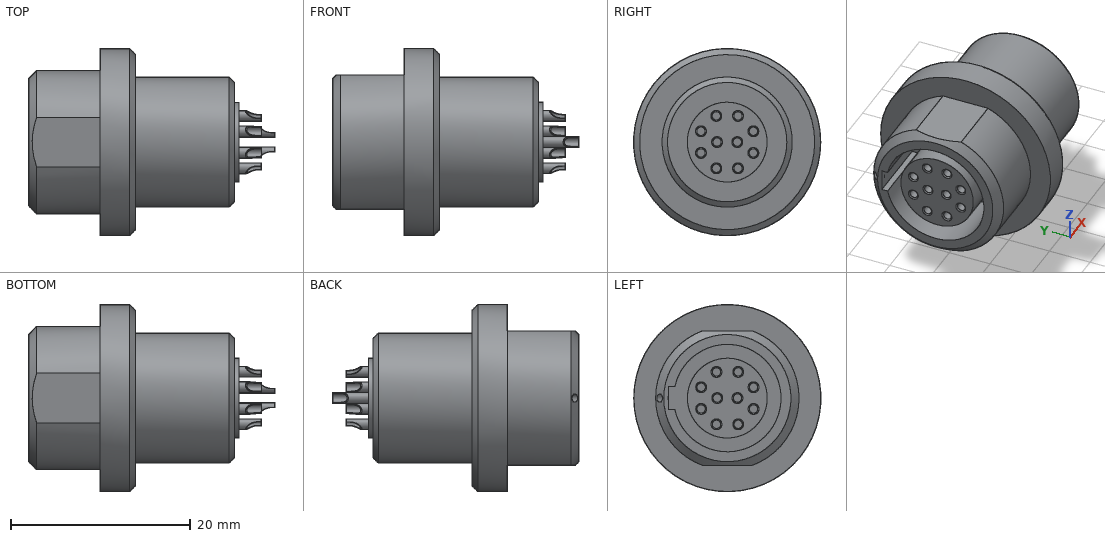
import cadquery as cq
import math

overall_length = 27.5
flange_front = 8.0
flange_back = 11.95
body_back = 23.0
insert_back = 23.5
outer_pin_end = 26.0
inner_pin_end = overall_length

nose_radius = 8.0
flange_radius = 10.45
body_radius = 7.25
nose_chamfer = 0.9
flange_chamfer = 0.7
body_chamfer = 0.6
nose_flat_height = 7.5

socket_radius = 6.0
socket_depth = flange_front
keyway_reach = 6.57
keyway_width = 2.55
insert_radius = 4.45
insert_front = 0.5

mark_radius = 0.45
mark_depth = 0.88

outer_pin_count = 8
outer_pin_circle = 3.15
inner_pin_offset = 1.13
pin_radius = 0.6
contact_hole_radius = 0.47
contact_hole_chamfer = 0.15
contact_hole_depth = 4.12

cup_bore_radius = 0.47
cup_length = 1.75
cup_arc_radius = 1.82
cup_floor = -0.05


def cylinder(radius, start, end, y=0.0, z=0.0):
    """Cylinder along X between two stations."""
    profile = cq.Workplane("YZ", origin=(start, y, z)).circle(radius)
    return profile.extrude(end - start)


def make_shell():
    nose = cylinder(nose_radius, 0, flange_front).faces("<X").chamfer(nose_chamfer)
    flats = cq.Workplane("XY").box(
        2 * flange_front, 2 * nose_radius, 2 * nose_flat_height
    )
    flange = cylinder(flange_radius, flange_front, flange_back)
    flange = flange.faces(">X").chamfer(flange_chamfer)
    body = cylinder(body_radius, flange_front, body_back)
    body = body.faces(">X").chamfer(body_chamfer)
    return nose.intersect(flats).union(flange).union(body)


def make_socket():
    socket = cylinder(socket_radius, 0, socket_depth)
    keyway = cq.Workplane("XY").box(
        socket_depth, keyway_reach, keyway_width, centered=(False, False, True)
    )
    return socket.union(keyway)


def make_mark():
    """Small blind hole drilled square into the nose chamfer, on the keyway side."""
    centre = cq.Vector(nose_chamfer / 2, nose_radius - nose_chamfer / 2, 0)
    inward = cq.Vector(1, -1, 0)
    hole = cq.Solid.makeCylinder(mark_radius, mark_depth, centre, inward)
    return cq.Workplane(hole)


def make_contact_hole(y, z):
    """Blind hole with a countersunk mouth in the insert face."""
    hole = cylinder(contact_hole_radius, insert_front, insert_front + contact_hole_depth, y, z)
    mouth = cq.Workplane("YZ", origin=(insert_front, y, z))
    mouth = mouth.circle(contact_hole_radius + contact_hole_chamfer)
    mouth = mouth.workplane(offset=contact_hole_chamfer).circle(contact_hole_radius).loft()
    return hole.union(mouth)


def make_pin(circle_radius, angle, end):
    """Pin with a solder cup opened on its outward side."""
    cup_start = end - cup_length
    pin = cylinder(pin_radius, body_back, end)
    pin = pin.cut(cylinder(cup_bore_radius, cup_start, end))

    drop = pin_radius - cup_floor
    sweep = math.acos(1 - drop / cup_arc_radius)
    arc_end = cup_start + cup_arc_radius * math.sin(sweep)
    arc_middle = (
        arc_end - cup_arc_radius * math.sin(sweep / 2),
        cup_floor + cup_arc_radius * (1 - math.cos(sweep / 2)),
    )
    opening = (
        cq.Workplane("XY", origin=(0, 0, -pin_radius))
        .moveTo(cup_start, pin_radius)
        .threePointArc(arc_middle, (arc_end, cup_floor))
        .lineTo(end, cup_floor)
        .lineTo(end, pin_radius)
        .close()
        .extrude(2 * pin_radius)
    )
    pin = pin.cut(opening).translate((0, circle_radius, 0))
    return pin.rotate((0, 0, 0), (1, 0, 0), angle)


angle_step = 360 / outer_pin_count
contacts = [
    (outer_pin_circle, (i + 0.5) * angle_step, outer_pin_end) for i in range(outer_pin_count)
]
contacts += [(inner_pin_offset, angle, inner_pin_end) for angle in (0, 180)]

result = make_shell().cut(make_socket()).cut(make_mark())
result = result.union(cylinder(insert_radius, insert_front, insert_back))

for circle_radius, angle, end in contacts:
    hole_y = circle_radius * math.cos(math.radians(angle))
    hole_z = circle_radius * math.sin(math.radians(angle))
    result = result.cut(make_contact_hole(hole_y, hole_z))
    result = result.union(make_pin(circle_radius, angle, end))